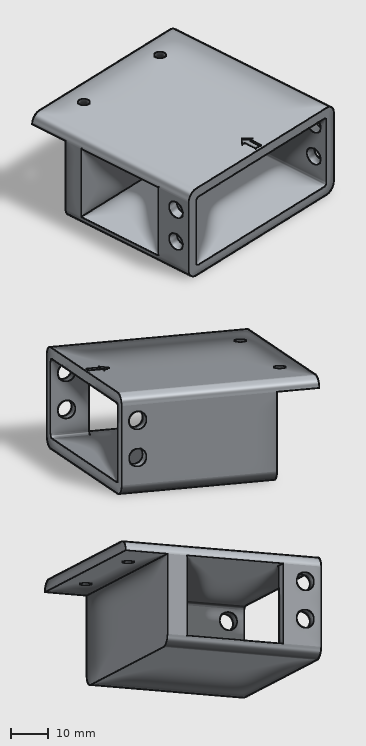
import cadquery as cq

length = 56.0
width = 57.8
height = 27.8
wall = 3.0
corner_radius = 3.0

overhang = 11.95
end_wall = 5.6
cavity_fillet = 1.0
post_width = 10.9

cross_hole_diameter = 4.9
cross_hole_inset = 4.55
cross_hole_heights = (10.3, 20.45)

screw_hole_diameter = 3.2
screw_hole_inset = 6.2
screw_hole_spacing = 30.3

arrow_tail_inset = 1.05
arrow_length = 6.0
arrow_head_length = 2.1
arrow_head_half_width = 2.1
arrow_stem_half_width = 1.1
arrow_depth = 0.5

cavity_start = overhang + end_wall
cavity_length = length - cavity_start
cavity_width = width - 2 * wall
cavity_height = height - 2 * wall


def box_from(x_start, y_start, z_start, x_size, y_size, z_size):
    """Box placed by its lowest corner."""
    box = cq.Workplane("XY").box(x_size, y_size, z_size, centered=False)
    return box.translate((x_start, y_start, z_start))


def make_outer_block():
    """Rounded block, cut away below the overhanging plate."""
    block = box_from(0, -width / 2, 0, length, width, height)
    block = block.edges("|X").fillet(corner_radius)
    return block.cut(box_from(0, -width / 2, 0, overhang, width, height - wall))


def make_cavity():
    """Chamber open at the +X end, with rounded long edges."""
    cavity = box_from(cavity_start, -cavity_width / 2, wall, cavity_length, cavity_width, cavity_height)
    return cavity.edges("|X").fillet(cavity_fillet)


def make_window():
    """Full-height opening through the -Y side wall."""
    window_length = cavity_length - post_width
    return box_from(cavity_start, -width / 2, wall, window_length, wall + cavity_fillet, cavity_height)


def make_cross_holes():
    """Bores along Y through both side walls."""
    centres = [(length - cross_hole_inset, z) for z in cross_hole_heights]
    holes = cq.Workplane("XZ").pushPoints(centres).circle(cross_hole_diameter / 2)
    return holes.extrude(width / 2, both=True)


def make_screw_holes():
    """Bores along Z through the overhanging plate."""
    centres = [(screw_hole_inset, side * screw_hole_spacing / 2) for side in (-1, 1)]
    return cq.Workplane("XY").pushPoints(centres).circle(screw_hole_diameter / 2).extrude(height)


def make_arrow():
    """Arrow-shaped recess in the top face."""
    tail_x = length - arrow_tail_inset
    tip_x = tail_x - arrow_length
    head_x = tip_x + arrow_head_length
    outline = [
        (tip_x, 0),
        (head_x, arrow_head_half_width),
        (head_x, arrow_stem_half_width),
        (tail_x, arrow_stem_half_width),
        (tail_x, -arrow_stem_half_width),
        (head_x, -arrow_stem_half_width),
        (head_x, -arrow_head_half_width),
    ]
    return cq.Workplane("XY").workplane(offset=height).polyline(outline).close().extrude(-arrow_depth)


result = (
    make_outer_block()
    .cut(make_cavity())
    .cut(make_window())
    .cut(make_cross_holes())
    .cut(make_screw_holes())
    .cut(make_arrow())
)